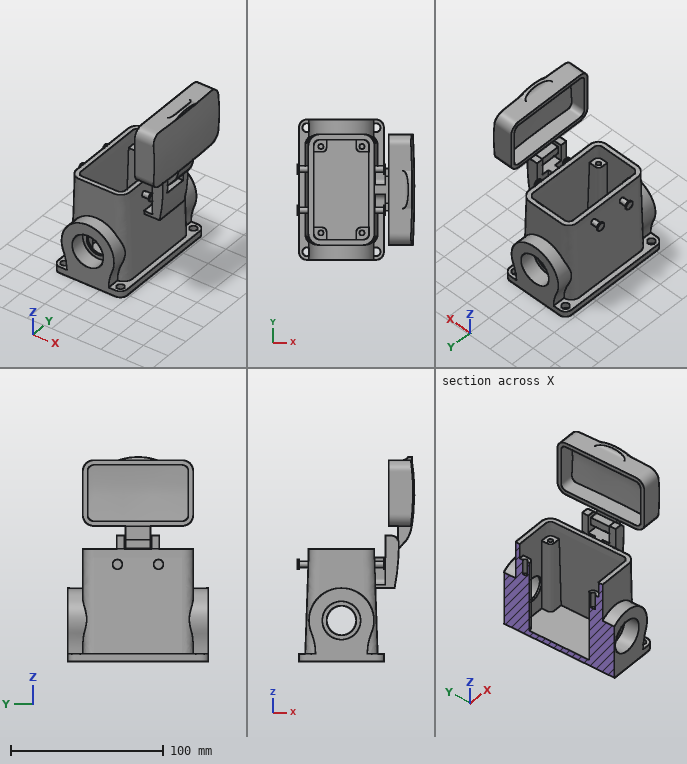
import cadquery as cq
import math

PLATE_X = 56.0
PLATE_Y = 92.5
PLATE_T = 5.0
PLATE_CORNER_R = 5.5
MOUNT_HOLE_D = 5.7
MOUNT_HOLE_X = 22.7
MOUNT_HOLE_Y = 40.8

SHELL_TOP_X = 43.4
SHELL_BASE_X = 47.8
SHELL_Y = 72.8
SHELL_CORNER_R = 7.5
SHELL_TOP_Z = 74.0
TAPER_END_Z = 68.4
WALL_T = 3.6
CAVITY_CORNER_R = SHELL_CORNER_R - WALL_T

POST_TOP_Z = 62.0
POST_X = 9.8
POST_Y = 24.8
POST_CORNER_R = 3.0
POST_HOLE_X = 13.5
POST_HOLE_Y = 28.4
POST_HOLE_D = 3.4
POST_HOLE_DEPTH = 12.0

HUB_Z = 27.0
HUB_R = 21.35
HUB_NECK_HALF_X = 17.0
ENTRY_D = 25.2
PASSAGE_D = 19.2
ENTRY_END_Y = 34.4

PIN_Y = 13.5
PIN_Z = 63.9
PIN_D = 4.2
PIN_HEAD_D = 6.4
PIN_HEAD_T = 1.0
PIN_END_X = 28.9

BRACKET_HALF_Y = 14.0
BRACKET_BOTTOM_Z = 48.2
SHELF_TOP_Z = 50.6
RIB_HALF_Y = 3.1
RIB_FILLET_R = 3.9
COLUMN_X = PIN_END_X
COLUMN_TOP_Z = 82.9
COLUMN_FLAT_END_X = 32.6
COLUMN_BACK_X = 37.7
COLUMN_BACK_Z = 77.5
COLUMN_BASE_X = 35.0
COLUMN_BOW = (36.9, 60.5)
SLOT_HALF_Y = 8.8
SLOT_FLOOR_Z = TAPER_END_Z

COVER_X = 31.05
COVER_BACK_X = 48.05
COVER_Z = 110.75
COVER_HALF_Z = SHELL_TOP_X / 2
COVER_WALL_T = 3.2
COVER_BACK_T = 4.0
DOME_DROP_Z = 1.7
DOME_DROP_Y = 1.0
DOME_SPAN_Y = 1.2 * SHELL_Y
LIP_TOP_Z = 134.56
LIP_RISE = LIP_TOP_Z - COVER_Z - COVER_HALF_Z
LIP_HALF_Y = 12.4
LIP_START_X = 40.3
LIP_FLAT_X = 43.9
LIP_BACK_X = 46.4
ARM_HALF_Y = 8.35
ARM_X = 37.15
ARM_BACK_X = 46.3
ARM_BOTTOM_Z = 74.2
ARM_CURVE_MID = (45.1, 84.3)
ARM_CURVE_END = (43.0, 80.0)
FOOT_X = COVER_X
FOOT_TOP_Z = 80.2


def rounded_rect(width_x, width_y, radius, z):
    """Rounded rectangle at height z, ready to extrude."""
    sketch = cq.Sketch().rect(width_x, width_y).vertices().fillet(radius)
    return cq.Workplane("XY", origin=(0, 0, z)).placeSketch(sketch)


def shell_block(inset, corner_r):
    """Tapered block with an upright rim, inset from the outside of the shell."""
    base_x = SHELL_BASE_X - 2 * inset
    top_x = SHELL_TOP_X - 2 * inset
    width_y = SHELL_Y - 2 * inset
    base = cq.Sketch().rect(base_x, width_y).vertices().fillet(corner_r)
    top = cq.Sketch().rect(top_x, width_y).vertices().fillet(corner_r)
    top = top.moved(cq.Location(cq.Vector(0, 0, TAPER_END_Z - PLATE_T)))
    tapered = cq.Workplane("XY", origin=(0, 0, PLATE_T)).placeSketch(base, top).loft(ruled=True)
    rim = rounded_rect(top_x, width_y, corner_r, TAPER_END_Z).extrude(SHELL_TOP_Z - TAPER_END_Z)
    return tapered.union(rim)


def make_plate():
    plate = rounded_rect(PLATE_X, PLATE_Y, PLATE_CORNER_R, 0).extrude(PLATE_T)
    holes = (
        cq.Workplane("XY")
        .rect(2 * MOUNT_HOLE_X, 2 * MOUNT_HOLE_Y, forConstruction=True)
        .vertices()
        .circle(MOUNT_HOLE_D / 2)
        .extrude(PLATE_T)
    )
    return plate.cut(holes)


def make_hubs():
    """Round hubs with concave necks, running through from end to end."""
    centre_drop = HUB_Z - PLATE_T
    neck_r = (centre_drop**2 + HUB_NECK_HALF_X**2 - HUB_R**2) / (2 * (HUB_R - HUB_NECK_HALF_X))
    neck_centre_x = HUB_NECK_HALF_X + neck_r
    centre_distance = HUB_R + neck_r
    tangent_x = HUB_R * neck_centre_x / centre_distance
    tangent_z = HUB_Z - HUB_R * centre_drop / centre_distance
    half_turn = math.atan2(centre_drop, neck_centre_x) / 2
    neck_mid_x = neck_centre_x - neck_r * math.cos(half_turn)
    neck_mid_z = PLATE_T + neck_r * math.sin(half_turn)
    return (
        cq.Workplane("XZ", origin=(0, PLATE_Y / 2, 0))
        .moveTo(-HUB_NECK_HALF_X, 0)
        .lineTo(-HUB_NECK_HALF_X, PLATE_T)
        .threePointArc((-neck_mid_x, neck_mid_z), (-tangent_x, tangent_z))
        .threePointArc((0, HUB_Z + HUB_R), (tangent_x, tangent_z))
        .threePointArc((neck_mid_x, neck_mid_z), (HUB_NECK_HALF_X, PLATE_T))
        .lineTo(HUB_NECK_HALF_X, 0)
        .close()
        .extrude(PLATE_Y)
    )


def make_cable_passage():
    """Stepped bore through both hubs: wide entries and a narrower passage."""
    centre = cq.Workplane("XZ", origin=(0, PLATE_Y / 2, HUB_Z))
    bore = centre.circle(PASSAGE_D / 2).extrude(PLATE_Y)
    entry_depth = PLATE_Y / 2 - ENTRY_END_Y
    for outer_y in (PLATE_Y / 2, -ENTRY_END_Y):
        entry = cq.Workplane("XZ", origin=(0, outer_y, HUB_Z)).circle(ENTRY_D / 2).extrude(entry_depth)
        bore = bore.union(entry)
    return bore


def make_cavity():
    """Inside of the housing, with a screw post left standing in each corner."""
    cavity = shell_block(WALL_T, CAVITY_CORNER_R)
    half_x = SHELL_BASE_X / 2 - POST_X
    half_y = SHELL_Y / 2 - POST_Y
    height = POST_TOP_Z - PLATE_T
    for side_x in (-1, 1):
        for side_y in (-1, 1):
            post = (
                rounded_rect(2 * half_x, 2 * half_y, POST_CORNER_R, PLATE_T)
                .extrude(height)
                .translate((side_x * (POST_X + half_x), side_y * (POST_Y + half_y), 0))
            )
            cavity = cavity.cut(post)
    holes = (
        cq.Workplane("XY", origin=(0, 0, POST_TOP_Z))
        .rect(2 * POST_HOLE_X, 2 * POST_HOLE_Y, forConstruction=True)
        .vertices()
        .circle(POST_HOLE_D / 2)
        .extrude(-POST_HOLE_DEPTH)
    )
    return cavity.union(holes)


def make_locking_pins():
    """Headed pins running the full width; the cavity later removes their middles."""
    pins = cq.Workplane("YZ")
    for y in (-PIN_Y, PIN_Y):
        shank = cq.Workplane("YZ", origin=(-PIN_END_X, y, PIN_Z)).circle(PIN_D / 2).extrude(2 * PIN_END_X)
        pins = pins.union(shank)
        for head_x in (-PIN_END_X, PIN_END_X - PIN_HEAD_T):
            head = cq.Workplane("YZ", origin=(head_x, y, PIN_Z)).circle(PIN_HEAD_D / 2).extrude(PIN_HEAD_T)
            pins = pins.union(head)
    return pins


def make_hinge_bracket():
    """Ribbed shelf carrying a slotted column; it starts inside the housing wall."""
    start_x = SHELL_TOP_X / 2 - WALL_T
    fillet_z = SHELF_TOP_Z + RIB_FILLET_R
    fillet_y = RIB_HALF_Y + RIB_FILLET_R
    arc_inset = RIB_FILLET_R * (1 - math.sqrt(0.5))
    shelf = (
        cq.Workplane("YZ", origin=(start_x, 0, 0))
        .moveTo(-BRACKET_HALF_Y, BRACKET_BOTTOM_Z)
        .lineTo(BRACKET_HALF_Y, BRACKET_BOTTOM_Z)
        .lineTo(BRACKET_HALF_Y, SHELF_TOP_Z)
        .lineTo(fillet_y, SHELF_TOP_Z)
        .threePointArc((RIB_HALF_Y + arc_inset, SHELF_TOP_Z + arc_inset), (RIB_HALF_Y, fillet_z))
        .lineTo(RIB_HALF_Y, TAPER_END_Z)
        .lineTo(-RIB_HALF_Y, TAPER_END_Z)
        .lineTo(-RIB_HALF_Y, fillet_z)
        .threePointArc((-RIB_HALF_Y - arc_inset, SHELF_TOP_Z + arc_inset), (-fillet_y, SHELF_TOP_Z))
        .lineTo(-BRACKET_HALF_Y, SHELF_TOP_Z)
        .close()
        .extrude(COLUMN_X - start_x)
    )
    column = (
        cq.Workplane("XZ", origin=(0, BRACKET_HALF_Y, 0))
        .moveTo(COLUMN_X, BRACKET_BOTTOM_Z)
        .lineTo(COLUMN_X, COLUMN_TOP_Z)
        .lineTo(COLUMN_FLAT_END_X, COLUMN_TOP_Z)
        .tangentArcPoint((COLUMN_BACK_X, COLUMN_BACK_Z), relative=False)
        .threePointArc(COLUMN_BOW, (COLUMN_BASE_X, BRACKET_BOTTOM_Z))
        .close()
        .extrude(2 * BRACKET_HALF_Y)
    )
    slot = cq.Workplane("XY", origin=(COLUMN_X, 0, SLOT_FLOOR_Z)).box(
        ARM_BACK_X - COLUMN_X,
        2 * SLOT_HALF_Y,
        COLUMN_TOP_Z - SLOT_FLOOR_Z,
        centered=(False, True, False),
    )
    return shelf.union(column.cut(slot))


def make_housing():
    housing = make_plate().union(shell_block(0, SHELL_CORNER_R))
    housing = housing.union(make_hubs()).union(make_locking_pins()).union(make_hinge_bracket())
    return housing.cut(make_cavity()).cut(make_cable_passage())


def domed_block(inset, back_x):
    """Rounded block from the cover rim to a back face domed along Y and Z."""
    half_y = SHELL_Y / 2 - inset
    half_z = COVER_HALF_Z - inset
    block = (
        cq.Workplane("YZ", origin=(COVER_X, 0, COVER_Z))
        .sketch()
        .rect(2 * half_y, 2 * half_z)
        .vertices()
        .fillet(SHELL_CORNER_R - inset)
        .finalize()
        .extrude(back_x - COVER_X)
    )
    return block.intersect(dome(back_x))


def dome(back_x):
    """Slice of a barrel whose surface bulges toward +X and peaks at back_x."""
    spin_r = (SHELL_Y / 2) ** 2 / (2 * DOME_DROP_Y)
    spin_deg = math.degrees(DOME_SPAN_Y / spin_r)
    axis_x = back_x - spin_r
    edge_x = back_x - DOME_DROP_Z
    front_x = COVER_X - 2 * DOME_DROP_Y
    bottom_z = COVER_Z - COVER_HALF_Z
    top_z = COVER_Z + COVER_HALF_Z
    return (
        cq.Workplane("XZ", origin=(axis_x, 0, 0))
        .moveTo(front_x - axis_x, bottom_z)
        .lineTo(edge_x - axis_x, bottom_z)
        .threePointArc((spin_r, COVER_Z), (edge_x - axis_x, top_z))
        .lineTo(front_x - axis_x, top_z)
        .close()
        .revolve(spin_deg, (0, 0, 0), (0, 1, 0))
        .rotate((axis_x, 0, 0), (axis_x, 0, 1), -spin_deg / 2)
    )


def make_thumb_lip():
    """Bowed lip on the cover's top edge, hollowed in front for a fingertip."""
    base_z = COVER_Z + COVER_HALF_Z
    run = LIP_FLAT_X - LIP_START_X
    hollow_r = (run**2 + LIP_RISE**2) / (2 * LIP_RISE)
    bow = (
        cq.Workplane("YZ", origin=(LIP_START_X, 0, 0))
        .moveTo(-LIP_HALF_Y, base_z)
        .threePointArc((0, base_z + LIP_RISE), (LIP_HALF_Y, base_z))
        .close()
        .extrude(LIP_BACK_X - LIP_START_X)
    )
    hollow = (
        cq.Workplane("XZ", origin=(LIP_START_X, LIP_HALF_Y, base_z + hollow_r))
        .circle(hollow_r)
        .extrude(2 * LIP_HALF_Y)
    )
    return bow.cut(hollow)


def make_arm():
    """Arm below the cover, ending in a foot between the hinge cheeks."""
    cover_bottom_z = COVER_Z - COVER_HALF_Z
    return (
        cq.Workplane("XZ", origin=(0, ARM_HALF_Y, 0))
        .moveTo(ARM_X, cover_bottom_z)
        .lineTo(ARM_BACK_X, cover_bottom_z)
        .threePointArc(ARM_CURVE_MID, ARM_CURVE_END)
        .lineTo(COLUMN_BACK_X, ARM_BOTTOM_Z)
        .lineTo(FOOT_X, ARM_BOTTOM_Z)
        .lineTo(FOOT_X, FOOT_TOP_Z)
        .lineTo(ARM_X, FOOT_TOP_Z)
        .close()
        .extrude(2 * ARM_HALF_Y)
    )


def make_cover():
    shell = domed_block(0, COVER_BACK_X)
    pocket = domed_block(COVER_WALL_T, COVER_BACK_X - COVER_BACK_T)
    return shell.cut(pocket).union(make_thumb_lip()).union(make_arm())


housing = make_housing()
cover = make_cover()

result = cq.Compound.makeCompound([housing.val(), cover.val()])